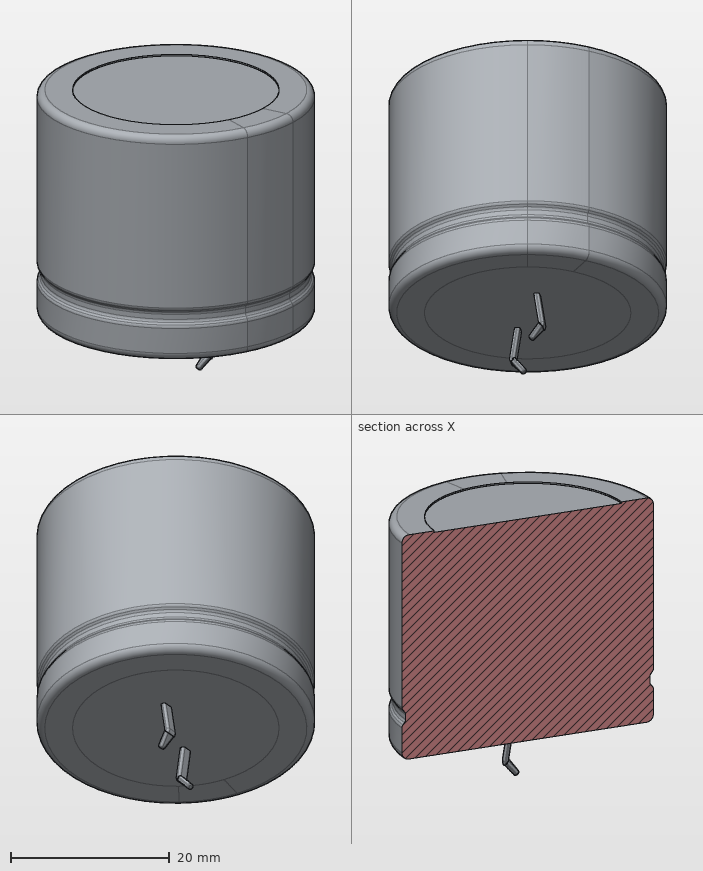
import cadquery as cq
import math

can_radius = 35.0 / 2
can_height = 30.0
rim_fillet = 1.0
top_opening_radius = 26.0 / 2
top_recess_depth = 0.2
stripe_angle = 26.4

groove_depth = 0.5
groove_center_z = 5.7
groove_floor_width = 0.66
groove_flank_angle = 40.0
groove_edge_radius = 0.6

pin_spacing = 10.0
pin_width = 1.6
pin_thickness = 0.72
pin_edge_radius = 0.3
pin_tip_width = 0.8
pin_tip_fillet = 0.2
pin_twist = 24.0
lean_angle = 8.5
tip_angle = 40.0
pin_root_z = 0.6
bend_start_z = -4.12
bend_radius = 0.42
pin_bottom_z = -6.14


def sleeve_sector(start_angle, sweep_angle):
    """Annular part of the can, from the top opening out to the grooved wall."""
    flank = math.radians(groove_flank_angle)
    arc_drop = groove_edge_radius * (1 - math.cos(flank))
    arc_height = groove_edge_radius * math.sin(flank)
    slope_height = (groove_depth - 2 * arc_drop) / math.tan(flank)
    floor_half = groove_floor_width / 2
    root_half = floor_half + arc_height
    lip_half = root_half + slope_height
    groove_half = lip_half + arc_height
    floor_radius = can_radius - groove_depth
    root_radius = floor_radius + arc_drop
    lip_radius = can_radius - arc_drop
    rim_radius = can_radius - rim_fillet

    profile = (
        cq.Workplane("XZ")
        .moveTo(top_opening_radius, 0)
        .lineTo(rim_radius, 0)
        .radiusArc((can_radius, rim_fillet), -rim_fillet)
        .lineTo(can_radius, groove_center_z - groove_half)
        .radiusArc((lip_radius, groove_center_z - lip_half), -groove_edge_radius)
        .lineTo(root_radius, groove_center_z - root_half)
        .radiusArc((floor_radius, groove_center_z - floor_half), groove_edge_radius)
        .lineTo(floor_radius, groove_center_z + floor_half)
        .radiusArc((root_radius, groove_center_z + root_half), groove_edge_radius)
        .lineTo(lip_radius, groove_center_z + lip_half)
        .radiusArc((can_radius, groove_center_z + groove_half), -groove_edge_radius)
        .lineTo(can_radius, can_height - rim_fillet)
        .radiusArc((rim_radius, can_height), -rim_fillet)
        .lineTo(top_opening_radius, can_height)
        .close()
    )
    sector = profile.revolve(sweep_angle, (0, 0, 0), (0, 1, 0))
    middle = sector.val().Center()
    middle_angle = math.degrees(math.atan2(middle.y, middle.x))
    return sector.rotate((0, 0, 0), (0, 0, 1), start_angle + sweep_angle / 2 - middle_angle)


def make_can():
    """Can with the recessed top and the edges of the polarity stripe on its outside."""
    core = cq.Workplane("XY").circle(top_opening_radius).extrude(can_height - top_recess_depth)
    stripe = sleeve_sector(-stripe_angle / 2, stripe_angle)
    sleeve = sleeve_sector(stripe_angle / 2, 360 - stripe_angle)
    return core.union(sleeve, clean=False).union(stripe, clean=False)


def pin_section(width):
    """Rectangular pin cross-section with rounded corners."""
    return cq.Sketch().rect(width, pin_thickness).vertices().fillet(pin_edge_radius)


def make_pin():
    """Flat, round-edged pin that leans towards -Y and kicks back towards +Y at its tip."""
    lean = math.radians(lean_angle)
    tip = math.radians(tip_angle)

    bend_start = (-(pin_root_z - bend_start_z) * math.tan(lean), bend_start_z)
    bend_center = (
        bend_start[0] + bend_radius * math.cos(lean),
        bend_start[1] + bend_radius * math.sin(lean),
    )
    bend_end = (
        bend_center[0] - bend_radius * math.cos(tip),
        bend_center[1] - bend_radius * math.sin(tip),
    )
    edge_center_offset = pin_thickness / 2 - pin_tip_fillet
    end_edge_drop = edge_center_offset * math.sin(tip) + pin_tip_fillet * (1 - math.cos(tip))
    tip_drop = bend_end[1] - pin_bottom_z - end_edge_drop
    tip_length = tip_drop / math.cos(tip)

    shank_length = (pin_root_z - bend_start_z) / math.cos(lean)
    shank_direction = (0, -math.sin(lean), -math.cos(lean))
    root_plane = cq.Plane((0, 0, pin_root_z), (1, 0, 0), shank_direction)
    shank = cq.Workplane(root_plane).placeSketch(pin_section(pin_width)).extrude(shank_length)

    bend_plane = cq.Plane((0, *bend_start), (1, 0, 0), shank_direction)
    bend = (
        cq.Workplane(bend_plane)
        .placeSketch(pin_section(pin_width))
        .revolve(lean_angle + tip_angle, (0, -bend_radius, 0), (1, -bend_radius, 0))
    )

    tip_plane = cq.Plane((0, *bend_end), (1, 0, 0), (0, math.sin(tip), -math.cos(tip)))
    tip_end = (
        cq.Workplane(tip_plane)
        .placeSketch(
            pin_section(pin_width),
            pin_section(pin_tip_width).moved(cq.Location(cq.Vector(0, 0, tip_length))),
        )
        .loft(ruled=True)
        .faces("<Z")
        .edges()
        .fillet(pin_tip_fillet)
    )
    return shank.union(bend).union(tip_end)


def add_pins(can):
    """Two pins, half a turn apart about the can axis."""
    pin = make_pin().rotate((0, 0, 0), (0, 0, 1), -pin_twist)
    pin = pin.translate((-pin_spacing / 2, 0, 0))
    for turn in (0, 180):
        can = can.union(pin.rotate((0, 0, 0), (0, 0, 1), turn), clean=False)
    return can


result = add_pins(make_can())